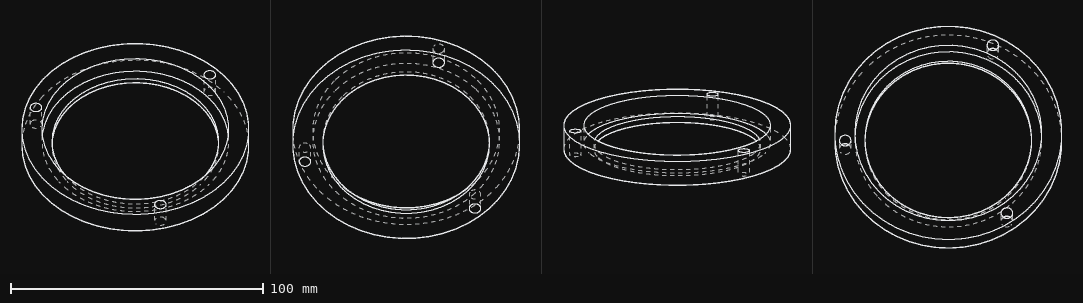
import cadquery as cq

outer_diameter = 90.0
height = 10.0

recess_diameter = 74.0
bore_diameter = 66.0
lip_thickness = 2.5
recess_depth = height - lip_thickness

hole_count = 3
hole_diameter = 4.5
hole_circle_radius = (outer_diameter + recess_diameter) / 4
first_hole_angle = 90.0


def ring_body():
    """Flat ring standing on Z = 0, with the through bore."""
    return (
        cq.Workplane("XY")
        .circle(outer_diameter / 2)
        .circle(bore_diameter / 2)
        .extrude(height)
    )


def recess_cutter():
    """Disc that opens the bore to the recess diameter above the lip."""
    return (
        cq.Workplane("XY")
        .workplane(offset=lip_thickness)
        .circle(recess_diameter / 2)
        .extrude(recess_depth)
    )


def mounting_hole_cutter():
    """Evenly spaced pins that cut the holes through the rim."""
    return (
        cq.Workplane("XY")
        .polarArray(hole_circle_radius, first_hole_angle, 360, hole_count)
        .circle(hole_diameter / 2)
        .extrude(height)
    )


result = ring_body().cut(recess_cutter()).cut(mounting_hole_cutter())